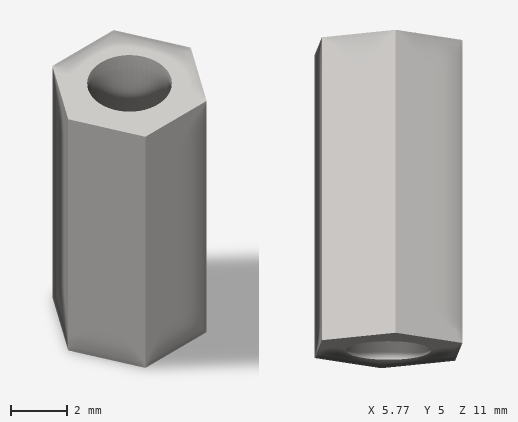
import cadquery as cq
import math

across_flats = 5.0
length = 11.0
bore_diameter = 3.0

hex_sides = 6
across_corners = across_flats / math.cos(math.pi / hex_sides)


def hex_body():
    """Hexagonal prism with two corners on the X axis."""
    return cq.Workplane("XY").polygon(hex_sides, across_corners).extrude(length)


def bore():
    """Cylinder that runs the full length of the body."""
    return cq.Workplane("XY").circle(bore_diameter / 2).extrude(length)


result = hex_body().cut(bore())